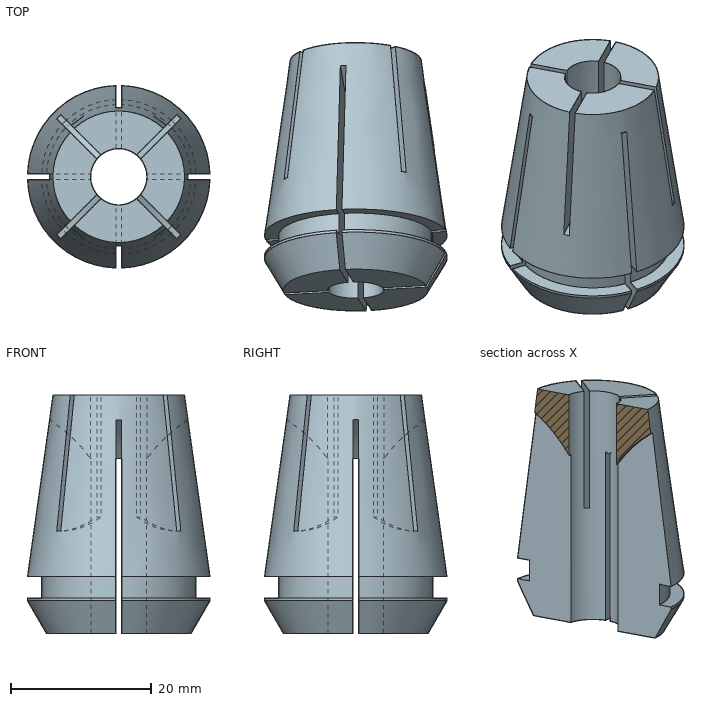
import cadquery as cq
import math

height = 34.0
outer_diameter = 26.0
bore_diameter = 8.0
taper_half_angle = 8.0
taper_start_z = 8.13

groove_diameter = 22.0
groove_bottom_z = 5.05
rim_bottom_z = 4.7
nose_half_angle = 30.0

slot_width = 0.8
lower_slot_outer_z = 30.45
lower_slot_bore_z = 24.92
lower_slot_saw_radius = 22.1
upper_slot_outer_z = 14.6
upper_slot_bore_z = 16.63
upper_slot_saw_radius = 17.0
slot_count_per_end = 4
slot_pitch = 360.0 / slot_count_per_end

outer_radius = outer_diameter / 2
bore_radius = bore_diameter / 2
groove_radius = groove_diameter / 2
taper_slope = math.tan(math.radians(taper_half_angle))
top_radius = outer_radius - (height - taper_start_z) * taper_slope
nose_radius = outer_radius - rim_bottom_z * math.tan(math.radians(nose_half_angle))


def taper_radius(z):
    """Radius of the long outer taper at height z."""
    return outer_radius - (z - taper_start_z) * taper_slope


def collet_body():
    """Revolved body with the through bore."""
    profile = (
        cq.Workplane("XZ")
        .moveTo(bore_radius, 0)
        .lineTo(nose_radius, 0)
        .lineTo(outer_radius, rim_bottom_z)
        .lineTo(outer_radius, groove_bottom_z)
        .lineTo(groove_radius, groove_bottom_z)
        .lineTo(groove_radius, taper_start_z)
        .lineTo(outer_radius, taper_start_z)
        .lineTo(top_radius, height)
        .lineTo(bore_radius, height)
        .close()
    )
    return profile.revolve(360, (0, 0, 0), (0, 1, 0))


def slot_cutter(outer_z, bore_z, saw_radius, open_z):
    """Radial slot along +X, open at open_z, with an arc from the bore to the taper at its closed end."""
    end_radius = taper_radius(outer_z)
    run = end_radius - bore_radius
    rise = outer_z - bore_z
    chord = math.hypot(run, rise)
    sagitta = saw_radius - math.sqrt(saw_radius**2 - (chord / 2) ** 2)

    bulge = math.copysign(sagitta, outer_z - open_z)
    middle_radius = (bore_radius + end_radius) / 2 - bulge * rise / chord
    middle_z = (bore_z + outer_z) / 2 + bulge * run / chord

    return (
        cq.Workplane("XZ")
        .moveTo(0, open_z)
        .lineTo(0, bore_z)
        .lineTo(bore_radius, bore_z)
        .threePointArc((middle_radius, middle_z), (end_radius, outer_z))
        .lineTo(outer_diameter, outer_z)
        .lineTo(outer_diameter, open_z)
        .close()
        .extrude(slot_width / 2, both=True)
    )


lower_slot = slot_cutter(lower_slot_outer_z, lower_slot_bore_z, lower_slot_saw_radius, 0)
upper_slot = slot_cutter(upper_slot_outer_z, upper_slot_bore_z, upper_slot_saw_radius, height)

result = collet_body()
for index in range(slot_count_per_end):
    angle = index * slot_pitch
    result = result.cut(lower_slot.rotate((0, 0, 0), (0, 0, 1), angle))
    result = result.cut(upper_slot.rotate((0, 0, 0), (0, 0, 1), angle + slot_pitch / 2))